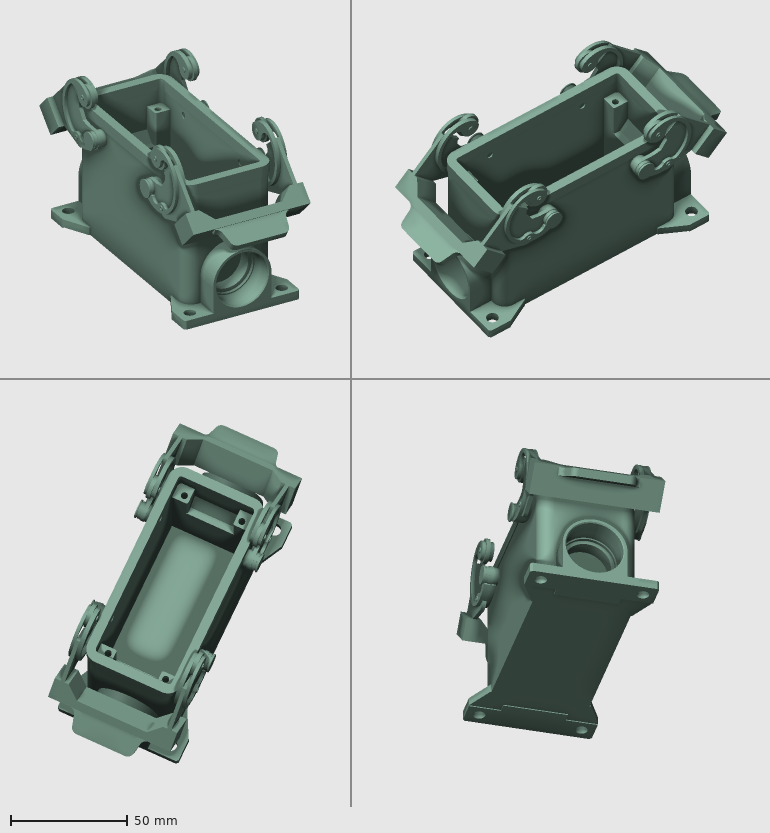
import cadquery as cq
import math

TOTAL_LENGTH = 151.5
TOTAL_WIDTH = 58.0
TOTAL_HEIGHT = 77.0
HALF_WIDTH = TOTAL_WIDTH / 2

BODY_LENGTH = 94.8
BODY_WIDTH = 43.6
BODY_BOTTOM = 0.5
BODY_TOP = 62.9
BODY_CORNER = 6.4
RIM_LENGTH = 95.1
RIM_WIDTH = 44.5
RIM_BOTTOM = 57.5
CAVITY_LENGTH = 86.7
CAVITY_WIDTH = 36.4
CAVITY_CORNER = 2.0
LIP = 0.2
MOUTH_CORNER = 1.5
FLOOR_TOP = 3.5

POST_SIZE = 7.4
POST_TOP = 50.9
POST_CORNER = 0.9
POST_HOLE_RADIUS = 1.5
POST_HOLE_DEPTH = 12.1
POST_HOLE_INSET = 4.5
BLOCK_TOP = 34.8
BLOCK_SLOPE_TOP = 39.7
BLOCK_SLOPE_RUN = 4.2

ENTRY_END = 58.6
ENTRY_RADIUS = 14.4
ENTRY_HEIGHT = 17.1
BORE_RADIUS = 12.7
BORE_DEPTH = 11.8
BORE_CHAMFER = 0.5
SEAT_DEPTH = 13.3
LAND_RADIUS = 12.1
INNER_BORE_RADIUS = 10.5
INNER_BORE_DEPTH = 19.7

FOOT_TOP = 4.2
FOOT_HALF_WIDTH = 28.6
FOOT_TIP_X = 35.3
FOOT_TIP_OVERHANG = 0.5
FOOT_CORNER = 0.9
FOOT_HOLE_X = 52.9
FOOT_HOLE_Y = 22.7
FOOT_HOLE_RADIUS = 2.7

CHEEK_INNER_Y = 22.4
PLATE_INNER_Y = 24.4
PLATE_OUTER_Y = 26.2
CHEEK_OUTER_Y = 27.7
RIVET_OUTER_Y = 28.2
RIVET_INNER_Y = 22.0
RIVET_RADIUS = 1.2
RIVET_BORE_RADIUS = 0.6

PIVOT = (-24.5, 53.3)
PIVOT_EYE_RADIUS = 4.0
PIVOT_PIN_RADIUS = 3.6
PIVOT_PIN_START_Y = 19.7
PIVOT_HEAD_RADIUS = 4.2
PIVOT_HEAD_THICKNESS = 0.6
PIVOT_DIMPLE_RADIUS = 1.5
PIVOT_DIMPLE_DEPTH = 0.6

RING_RADIUS = 15.9
RING_INNER_RADIUS = 14.1
RING_END_ANGLE = -57
CROWN_RADIUS = 11.0
CROWN_ANGLE = 128
CROWN_RISE = (RING_RADIUS - CROWN_RADIUS) * math.sin(math.radians(CROWN_ANGLE))
RING_CENTRE = (-33.3, TOTAL_HEIGHT - CROWN_RADIUS - CROWN_RISE)
ROLLER_CENTRE = (-31.7, 71.0)
ROLLER_RADIUS = 5.5
HOOK_END_RADIUS = 4.2
LOWER_RIVET = (-37.0, 49.2)
LOWER_LOBE_RADIUS = 5.2

HOOK_ANGLE = 47
HOOK_TIP_ANGLE = -65
RING_BACK_ANGLE = -145
THROAT_ANGLE = 136
RING_FOOT_ANGLE = -127
THROAT_CROWN = (-39.1, 73.5)
WAVE_ARCS = (
    ((-40.1, 50.5), (-38.6, 51.2)),
    ((-37.0, 51.5), (-34.8, 50.9)),
    ((-31.8, 49.1), (-28.6, 51.2)),
)
PLATE_ARM_RISE = 15.5
PLATE_THROAT = (
    (-36.4, 66.2),
    (-37.4, 65.0),
    (-37.4, BODY_TOP),
    (-34.2, 58.3),
    (-30.3, RIM_BOTTOM),
)
RING_BOTTOM_ANGLE = -90
LOBE_BOTTOM_ANGLE = -75
LOBE_END_ANGLE = -105

BAR_CORNER = (-60.1, 57.9)
BAR_DEPTH = 14.0
BAR_THICKNESS = 10.0
BAR_NOTCH_DEPTH = 5.9
BAR_NOTCH_TOP_Y = 22.4
BAR_NOTCH_FLOOR_Y = 16.5
DIAGONAL = math.sqrt(0.5)

TAB_TIP_Z = 45.0
TAB_ANGLE = 31.3
TAB_LENGTH = 10.1
TAB_ROOT = 1.8
TAB_THICKNESS = 3.6
TAB_FLARE_Y = 18.2
TAB_FLARE_LENGTH = 2.3
TAB_FLARE_MID_Y = 16.5
TAB_FLARE_MID_LENGTH = 0.9
TAB_ROOT_Y = 15.8
TAB_END_Y = 14.0
TAB_CORNER = 3.0


def slab(profile, y_inner, y_outer):
    """Extrude an X-Z profile on the -Y side, from y_inner outward to y_outer."""
    return profile.extrude(y_outer - y_inner).translate((0, -y_inner, 0))


def disc(centre, radius, y_inner, y_outer):
    return slab(cq.Workplane("XZ").center(*centre).circle(radius), y_inner, y_outer)


def polar(centre, radius, angle):
    turn = math.radians(angle)
    return (centre[0] + radius * math.cos(turn), centre[1] + radius * math.sin(turn))


def both_sides(shape):
    return shape.union(shape.mirror("XZ"))


def both_ends(shape):
    return shape.union(shape.mirror("YZ"))


def block(length, width, bottom, top, corner):
    solid = cq.Workplane("XY").box(length, width, top - bottom, centered=(True, True, False))
    return solid.edges("|Z").fillet(corner).translate((0, 0, bottom))


def make_housing():
    body = block(BODY_LENGTH, BODY_WIDTH, BODY_BOTTOM, BODY_TOP, BODY_CORNER)
    rim = block(RIM_LENGTH, RIM_WIDTH, RIM_BOTTOM, BODY_TOP, BODY_CORNER)
    cavity = block(CAVITY_LENGTH, CAVITY_WIDTH, FLOOR_TOP, RIM_BOTTOM, CAVITY_CORNER)
    mouth = block(CAVITY_LENGTH - 2 * LIP, CAVITY_WIDTH - 2 * LIP, FLOOR_TOP, BODY_TOP, MOUTH_CORNER)
    return body.union(rim).cut(cavity).cut(mouth)


def make_inner_end():
    """Two screw posts and the entry block between them, at the -X end."""
    wall_x = -CAVITY_LENGTH / 2
    wall_y = -CAVITY_WIDTH / 2
    front_x = wall_x + POST_SIZE
    post = (
        cq.Workplane("XY")
        .box(POST_SIZE, POST_SIZE, POST_TOP - FLOOR_TOP, centered=False)
        .translate((wall_x, wall_y, FLOOR_TOP))
        .edges("|Z and >X and >Y")
        .fillet(POST_CORNER)
    )
    entry_block = (
        cq.Workplane("XZ")
        .moveTo(wall_x, FLOOR_TOP)
        .lineTo(front_x, FLOOR_TOP)
        .lineTo(front_x, BLOCK_TOP)
        .lineTo(wall_x + BLOCK_SLOPE_RUN, BLOCK_TOP)
        .lineTo(wall_x, BLOCK_SLOPE_TOP)
        .close()
        .extrude(CAVITY_WIDTH / 2, both=True)
    )
    post_hole = (
        cq.Workplane("XY", origin=(wall_x + POST_HOLE_INSET, wall_y + POST_HOLE_INSET, POST_TOP))
        .circle(POST_HOLE_RADIUS)
        .extrude(-POST_HOLE_DEPTH)
    )
    return entry_block.union(both_sides(post)).cut(both_sides(post_hole))


def make_entry():
    """Round-topped cable entry standing on the base, at the -X end."""
    return (
        cq.Workplane("YZ", origin=(-ENTRY_END, 0, 0))
        .moveTo(-ENTRY_RADIUS, 0)
        .lineTo(ENTRY_RADIUS, 0)
        .lineTo(ENTRY_RADIUS, ENTRY_HEIGHT)
        .threePointArc((0, ENTRY_HEIGHT + ENTRY_RADIUS), (-ENTRY_RADIUS, ENTRY_HEIGHT))
        .close()
        .extrude(ENTRY_END - CAVITY_LENGTH / 2)
    )


def make_bore():
    """Blind stepped bore of the -X entry, turned about its own axis."""
    return (
        cq.Workplane("XY")
        .moveTo(0, 0)
        .lineTo(0, BORE_RADIUS + BORE_CHAMFER)
        .lineTo(BORE_CHAMFER, BORE_RADIUS)
        .lineTo(BORE_DEPTH, BORE_RADIUS)
        .lineTo(BORE_DEPTH, LAND_RADIUS)
        .lineTo(SEAT_DEPTH, LAND_RADIUS)
        .lineTo(SEAT_DEPTH, INNER_BORE_RADIUS)
        .lineTo(INNER_BORE_DEPTH, INNER_BORE_RADIUS)
        .lineTo(INNER_BORE_DEPTH, 0)
        .close()
        .revolve(360, (0, 0, 0), (1, 0, 0))
        .translate((-ENTRY_END, 0, ENTRY_HEIGHT))
    )


def make_feet():
    """Mounting flange at the -X end with a tapered ear on each side."""
    body_x = BODY_LENGTH / 2
    tip_y = BODY_WIDTH / 2 + FOOT_TIP_OVERHANG
    flange = (
        cq.Workplane("XY", origin=(0, 0, BODY_BOTTOM))
        .moveTo(-FOOT_TIP_X, -tip_y)
        .lineTo(-body_x, -FOOT_HALF_WIDTH)
        .lineTo(-ENTRY_END, -FOOT_HALF_WIDTH)
        .lineTo(-ENTRY_END, FOOT_HALF_WIDTH)
        .lineTo(-body_x, FOOT_HALF_WIDTH)
        .lineTo(-FOOT_TIP_X, tip_y)
        .close()
        .extrude(FOOT_TOP - BODY_BOTTOM)
    )
    pad = (
        cq.Workplane("XY")
        .box(ENTRY_END - body_x, 2 * FOOT_HALF_WIDTH, FOOT_TOP, centered=(False, True, False))
        .translate((-ENTRY_END, 0, 0))
    )
    cavity_cut = block(CAVITY_LENGTH, CAVITY_WIDTH, FLOOR_TOP, FOOT_TOP, CAVITY_CORNER)
    holes = (
        cq.Workplane("XY")
        .pushPoints([(-FOOT_HOLE_X, -FOOT_HOLE_Y), (-FOOT_HOLE_X, FOOT_HOLE_Y)])
        .circle(FOOT_HOLE_RADIUS)
        .extrude(FOOT_TOP)
    )
    feet = flange.union(pad).edges("|Z and <X").chamfer(FOOT_CORNER)
    return feet.cut(cavity_cut).cut(holes)


def cheek_profile():
    """Hook-shaped cheek: a ring segment, a crown over the throat and a rounded hook end."""
    crown_centre = polar(RING_CENTRE, RING_RADIUS - CROWN_RADIUS, CROWN_ANGLE)
    profile = (
        cq.Workplane("XZ")
        .moveTo(*polar(RING_CENTRE, RING_RADIUS, RING_END_ANGLE))
        .threePointArc(
            polar(RING_CENTRE, RING_RADIUS, RING_BACK_ANGLE),
            polar(RING_CENTRE, RING_RADIUS, CROWN_ANGLE),
        )
        .threePointArc(
            polar(crown_centre, CROWN_RADIUS, (CROWN_ANGLE + HOOK_ANGLE) / 2),
            polar(ROLLER_CENTRE, HOOK_END_RADIUS, HOOK_ANGLE),
        )
        .threePointArc(
            polar(ROLLER_CENTRE, HOOK_END_RADIUS, HOOK_TIP_ANGLE),
            polar(ROLLER_CENTRE, HOOK_END_RADIUS, 180),
        )
        .threePointArc(THROAT_CROWN, polar(RING_CENTRE, RING_INNER_RADIUS, THROAT_ANGLE))
        .threePointArc(
            polar(RING_CENTRE, RING_INNER_RADIUS, 180),
            polar(RING_CENTRE, RING_INNER_RADIUS, RING_FOOT_ANGLE),
        )
    )
    for through_point, end_point in WAVE_ARCS:
        profile = profile.threePointArc(through_point, end_point)
    return profile.lineTo(*PIVOT).close()


def plate_profile():
    """Middle plate: straight arm from the bar, open throat, lobe around the lower rivet."""
    bar_inner_corner = (
        BAR_CORNER[0] + BAR_DEPTH * DIAGONAL,
        BAR_CORNER[1] - BAR_DEPTH * DIAGONAL,
    )
    profile = cq.Workplane("XZ").moveTo(*BAR_CORNER).line(PLATE_ARM_RISE, PLATE_ARM_RISE)
    for point in PLATE_THROAT:
        profile = profile.lineTo(*point)
    return (
        profile
        .lineTo(PIVOT[0], PIVOT[1] + PIVOT_HEAD_RADIUS)
        .lineTo(*PIVOT)
        .lineTo(*polar(RING_CENTRE, RING_RADIUS, RING_END_ANGLE))
        .threePointArc(
            polar(RING_CENTRE, RING_RADIUS, (RING_END_ANGLE + RING_BOTTOM_ANGLE) / 2),
            polar(RING_CENTRE, RING_RADIUS, RING_BOTTOM_ANGLE),
        )
        .threePointArc(
            polar(LOWER_RIVET, LOWER_LOBE_RADIUS, LOBE_BOTTOM_ANGLE),
            polar(LOWER_RIVET, LOWER_LOBE_RADIUS, LOBE_END_ANGLE),
        )
        .lineTo(*bar_inner_corner)
        .close()
    )


def make_lever_side():
    side = slab(plate_profile(), PLATE_INNER_Y, PLATE_OUTER_Y)
    side = side.union(disc(PIVOT, PIVOT_HEAD_RADIUS, PLATE_INNER_Y, PLATE_OUTER_Y))
    side = side.union(disc(ROLLER_CENTRE, ROLLER_RADIUS, PLATE_INNER_Y, PLATE_OUTER_Y))
    for inner, outer in ((CHEEK_INNER_Y, PLATE_INNER_Y), (PLATE_OUTER_Y, CHEEK_OUTER_Y)):
        side = side.union(slab(cheek_profile(), inner, outer))
    head_start = HALF_WIDTH - PIVOT_HEAD_THICKNESS
    side = side.union(disc(PIVOT, PIVOT_EYE_RADIUS, CHEEK_INNER_Y, CHEEK_OUTER_Y))
    side = side.union(disc(PIVOT, PIVOT_PIN_RADIUS, PIVOT_PIN_START_Y, head_start))
    side = side.union(disc(PIVOT, PIVOT_HEAD_RADIUS, head_start, HALF_WIDTH))
    for centre in (ROLLER_CENTRE, LOWER_RIVET):
        side = side.union(disc(centre, RIVET_RADIUS, RIVET_INNER_Y, RIVET_OUTER_Y))
        side = side.cut(disc(centre, RIVET_BORE_RADIUS, CHEEK_OUTER_Y, RIVET_OUTER_Y))
    return side


def make_bar():
    """Handle bar set at 45 degrees, notched along its upper edge to clear the housing."""
    plane = cq.Plane(
        origin=(BAR_CORNER[0], 0, BAR_CORNER[1]), xDir=(0, 1, 0), normal=(1, 0, -1)
    )
    return (
        cq.Workplane(plane)
        .moveTo(-HALF_WIDTH, 0)
        .lineTo(-BAR_NOTCH_TOP_Y, 0)
        .lineTo(-BAR_NOTCH_FLOOR_Y, -BAR_NOTCH_DEPTH)
        .lineTo(BAR_NOTCH_FLOOR_Y, -BAR_NOTCH_DEPTH)
        .lineTo(BAR_NOTCH_TOP_Y, 0)
        .lineTo(HALF_WIDTH, 0)
        .lineTo(HALF_WIDTH, -BAR_THICKNESS)
        .lineTo(-HALF_WIDTH, -BAR_THICKNESS)
        .close()
        .extrude(BAR_DEPTH)
    )


def make_tab():
    """Finger tab: flared at the bar, narrowing to a rounded end."""
    fall = math.radians(TAB_ANGLE)
    flare_end = TAB_LENGTH - TAB_FLARE_LENGTH
    flare_mid = TAB_LENGTH - TAB_FLARE_MID_LENGTH
    plane = cq.Plane(
        origin=(-TOTAL_LENGTH / 2, 0, TAB_TIP_Z),
        xDir=(0, 1, 0),
        normal=(math.sin(fall), 0, -math.cos(fall)),
    )
    return (
        cq.Workplane(plane)
        .moveTo(-TAB_FLARE_Y, TAB_LENGTH + TAB_ROOT)
        .lineTo(-TAB_FLARE_Y, TAB_LENGTH)
        .threePointArc((-TAB_FLARE_MID_Y, flare_mid), (-TAB_ROOT_Y, flare_end))
        .lineTo(-TAB_END_Y, 0)
        .lineTo(TAB_END_Y, 0)
        .lineTo(TAB_ROOT_Y, flare_end)
        .threePointArc((TAB_FLARE_MID_Y, flare_mid), (TAB_FLARE_Y, TAB_LENGTH))
        .lineTo(TAB_FLARE_Y, TAB_LENGTH + TAB_ROOT)
        .close()
        .extrude(TAB_THICKNESS)
        .faces("<X")
        .edges("not |Y")
        .fillet(TAB_CORNER)
    )


lever = both_sides(make_lever_side()).union(make_bar()).union(make_tab())
result = make_housing()
for feature in (make_inner_end(), make_entry(), make_feet(), lever):
    result = result.union(both_ends(feature))
result = result.cut(both_ends(make_bore()))
dimple_start = CAVITY_WIDTH / 2
pivot_dimple = disc(PIVOT, PIVOT_DIMPLE_RADIUS, dimple_start, dimple_start + PIVOT_DIMPLE_DEPTH)
result = result.cut(both_ends(both_sides(pivot_dimple)))